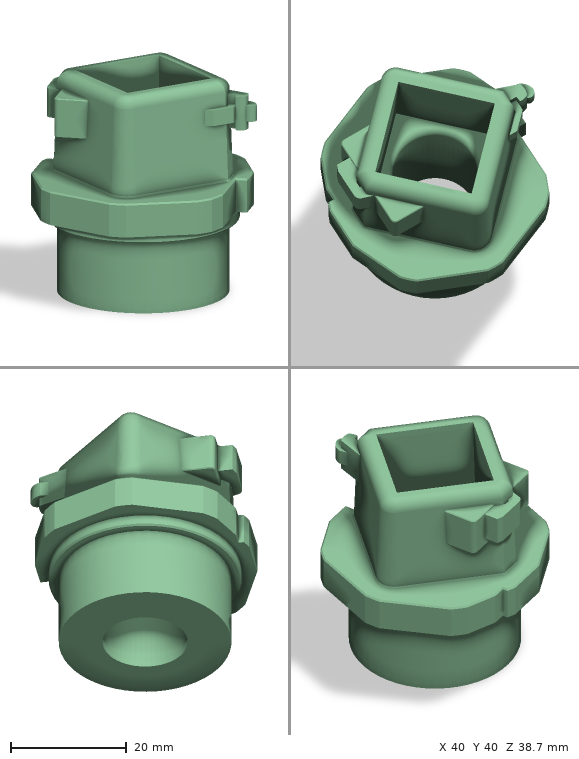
import cadquery as cq
import math

collar_bottom = 13.0
flange_bottom = 15.0
flange_top = 21.0
overall_height = 38.7

spigot_radius = 14.9
collar_radius = 16.68
flange_radius = 20
bore_radius = 7.35
bore_mouth_fillet = 1.08
edge_break = 0.28

flange_sides = 8
flange_apothem = 19.0
positive_corner_flat = 18.4
positive_corner_deep_flat = 16.4
positive_corner_step = 0
negative_corner_notch_flat = 17.4
negative_corner_notch_start = -5.3

draft_angle = 2
hub_half_width = 12.28
hub_corner_radius = 3.08
hub_corner_flat = 2.68
hub_top_fillet = 2

pocket_half_width = 8.55
pocket_lip_depth = 1.2
pocket_floor = 21.8

wedge_bottom = 28.9
wedge_top = 35.9
wedge_apex_out = 16.1
wedge_apex_along = -3.5
wedge_apex_radius = 0.88
wedge_root = 10
wedge_edge_chamfer = 0.15
wedge_wall_fillet = 0.15

selection_margin = 0.05

clip_bottom = 30.45
clip_top = 35.6
clip_outer = 16.88
clip_inner = 15.25
clip_root = 13.6
clip_end = -5.6
clip_bevel_out = 0.45
clip_bevel_across = 1.15
clip_nose_start = 0.8
clip_nose_out = (16.68, 16.25)
clip_nose_across = (1.4, 1.85)
clip_root_across = 2.7
clip_slit_end = -1.15
clip_wall_point = (-11.6, -6.4)

latch_bottom = 30
latch_top = 36
latch_edge = 18.25
latch_crown = 18.48
latch_crown_across = -0.48
latch_edge_across = (-1.68, 0.68)
latch_side_out = (16.6, 17.4)
latch_side_across = 1.05
latch_root_out = 14.4
latch_root_x = 6.5
latch_root_y = (10.45, 11.65)
arm_bottom = 31.6
arm_top = 34.4
arm_inner = 15.25
arm_outer = 16.48
arm_inner_side = 12.05
arm_side = 13.1
arm_end = 6.1
arm_overlap = 0.8

nose_start = (10, 13.2)
nose_shoulder = (11.0, 14.48)
nose_crown = (12.28, 14.88)
nose_turn = (13.55, 14.6)
nose_tip = (14.35, 13.6)
nose_finish = (13.45, 12.48)
nose_root = (11.2, 12)


def corner_point(outward, across):
    """XY point given along the (+X, +Y) diagonal and square to it, toward +X."""
    root = math.sqrt(2)
    return (outward + across) / root, (outward - across) / root


def prism(points, bottom, top):
    return cq.Workplane("XY").workplane(offset=bottom).polyline(points).close().extrude(top - bottom)


def corner_cut(near, far, start, end):
    """Block that trims the flange from one diagonal distance to another."""
    outline = [
        corner_point(near, start),
        corner_point(near, end),
        corner_point(far, end),
        corner_point(far, start),
    ]
    return prism(outline, flange_bottom, flange_top)


def make_base():
    spigot = cq.Workplane("XY").circle(spigot_radius).extrude(flange_bottom)
    collar = (
        cq.Workplane("XY")
        .workplane(offset=collar_bottom)
        .circle(collar_radius)
        .extrude(flange_bottom - collar_bottom)
        .faces("<Z")
        .chamfer(edge_break)
    )
    return spigot.union(collar)


def make_flange():
    thickness = flange_top - flange_bottom
    reach = 2 * flange_radius
    plane = cq.Workplane("XY").workplane(offset=flange_bottom)
    octagon_diameter = 2 * flange_apothem / math.cos(math.pi / flange_sides)
    flange = plane.polygon(flange_sides, octagon_diameter).extrude(thickness)
    flange = flange.intersect(plane.circle(flange_radius).extrude(thickness))
    cuts = (
        corner_cut(positive_corner_flat, reach, -reach, reach),
        corner_cut(positive_corner_deep_flat, reach, positive_corner_step, reach),
        corner_cut(-flange_apothem, -reach, -reach, reach),
        corner_cut(-negative_corner_notch_flat, -reach, -reach, negative_corner_notch_start),
    )
    for cut in cuts:
        flange = flange.cut(cut)
    return flange.faces(">Z").chamfer(edge_break)


def make_hub():
    """Drafted square with flats on the (+X, +Y) and (-X, -Y) corners and the other two rounded."""
    half = hub_half_width
    flat = half - hub_corner_flat
    arc = half - hub_corner_radius
    mid = arc + hub_corner_radius / math.sqrt(2)
    hub = (
        cq.Workplane("XY")
        .workplane(offset=flange_top)
        .moveTo(half, flat)
        .lineTo(flat, half)
        .lineTo(-arc, half)
        .threePointArc((-mid, mid), (-half, arc))
        .lineTo(-half, -flat)
        .lineTo(-flat, -half)
        .lineTo(arc, -half)
        .threePointArc((mid, -mid), (half, -arc))
        .close()
        .extrude(overall_height - flange_top, taper=draft_angle)
    )
    return hub.faces(">Z").edges().fillet(hub_top_fillet)


def make_pocket():
    """Straight-sided lip above a square cavity that widens toward its floor."""
    lip_bottom = overall_height - pocket_lip_depth
    cavity_depth = lip_bottom - pocket_floor
    side = 2 * pocket_half_width
    floor_side = side + 2 * cavity_depth * math.tan(math.radians(draft_angle))
    lip = cq.Workplane("XY").workplane(offset=lip_bottom).rect(side, side).extrude(pocket_lip_depth)
    cavity = (
        cq.Workplane("XY")
        .workplane(offset=pocket_floor)
        .rect(floor_side, floor_side)
        .workplane(offset=cavity_depth)
        .rect(side, side)
        .loft(ruled=True)
    )
    return lip.union(cavity)


def make_bore():
    """Through bore whose mouth is rounded over into the pocket floor."""
    mouth_radius = bore_radius + bore_mouth_fillet
    fillet_start = pocket_floor - bore_mouth_fillet
    sag = bore_mouth_fillet / math.sqrt(2)
    return (
        cq.Workplane("XZ")
        .lineTo(bore_radius, 0)
        .lineTo(bore_radius, fillet_start)
        .threePointArc((mouth_radius - sag, fillet_start + sag), (mouth_radius, pocket_floor))
        .lineTo(0, pocket_floor)
        .close()
        .revolve(360, (0, 0, 0), (0, 1, 0))
    )


def make_wedge():
    """Wedge on the -X wall, its two faces meeting at a rounded right-angled nose."""
    run = wedge_apex_out - wedge_root
    outline = [
        (-wedge_apex_out, wedge_apex_along),
        (-wedge_root, wedge_apex_along + run),
        (-wedge_root, wedge_apex_along - run),
    ]
    wedge = prism(outline, wedge_bottom, wedge_top)
    wedge = wedge.edges("|Z and <X").fillet(wedge_apex_radius)
    return wedge.faces("<Z or >Z").chamfer(wedge_edge_chamfer)


def make_clip():
    """Clip with a bevelled free end; a slit separates half of it from the hub corner."""
    nose_middle = corner_point(-clip_nose_out[0], clip_nose_across[0])
    nose_finish = corner_point(-clip_nose_out[1], clip_nose_across[1])
    return (
        cq.Workplane("XY")
        .workplane(offset=clip_bottom)
        .moveTo(*corner_point(-clip_root, clip_end))
        .lineTo(*corner_point(clip_bevel_out - clip_outer, clip_end))
        .lineTo(*corner_point(-clip_outer, clip_end + clip_bevel_across))
        .lineTo(*corner_point(-clip_outer, clip_nose_start))
        .threePointArc(nose_middle, nose_finish)
        .lineTo(*corner_point(-clip_root, clip_root_across))
        .lineTo(*corner_point(-clip_root, 0))
        .lineTo(*corner_point(-clip_inner, 0))
        .lineTo(*corner_point(-clip_inner, clip_slit_end))
        .lineTo(*clip_wall_point)
        .close()
        .extrude(clip_top - clip_bottom)
    )


def make_latch_head():
    edge_start, edge_finish = latch_edge_across
    side_start, side_middle = latch_side_out
    wall_low, wall_high = latch_root_y
    return (
        cq.Workplane("XY")
        .workplane(offset=latch_bottom)
        .moveTo(*corner_point(latch_root_out, 0))
        .lineTo(*corner_point(arm_outer, 0))
        .lineTo(*corner_point(side_start, latch_side_across))
        .threePointArc(corner_point(side_middle, latch_side_across), corner_point(latch_edge, edge_finish))
        .threePointArc(corner_point(latch_crown, latch_crown_across), corner_point(latch_edge, edge_start))
        .lineTo(latch_root_x, wall_high)
        .lineTo(latch_root_x, wall_low)
        .close()
        .extrude(latch_top - latch_bottom)
    )


def make_latch_arm():
    """Bent arm that leaves the head and stands clear of the hub wall."""
    arm_width = arm_side - arm_inner_side
    outline = [
        corner_point(arm_inner, -arm_overlap),
        corner_point(arm_outer, -arm_overlap),
        (arm_side, arm_outer * math.sqrt(2) - arm_side),
        (arm_side, arm_end),
        (arm_inner_side, arm_end - arm_width),
        (arm_inner_side, arm_inner * math.sqrt(2) - arm_inner_side),
    ]
    return prism(outline, arm_bottom, arm_top)


def make_latch_nose():
    return (
        cq.Workplane("XY")
        .workplane(offset=arm_bottom)
        .moveTo(*nose_start)
        .lineTo(*nose_shoulder)
        .threePointArc(nose_crown, nose_turn)
        .threePointArc(nose_tip, nose_finish)
        .lineTo(*nose_root)
        .close()
        .extrude(arm_top - arm_bottom)
    )


def make_latch():
    return make_latch_head().union(make_latch_arm()).union(make_latch_nose())


def make_hub_with_wedges():
    """Hub with a wedge on its -X wall and the mirrored one on its -Y wall, filleted at the walls."""
    wedge = make_wedge()
    mirrored_wedge = wedge.rotate((0, 0, 0), (0, 0, 1), 90).mirror("YZ")
    hub = make_hub().union(wedge).union(mirrored_wedge)
    wall_lean = (overall_height - flange_top) * math.tan(math.radians(draft_angle))
    run = wedge_apex_out - wedge_root
    outer = -hub_half_width
    inner = outer + wall_lean
    start = wedge_apex_along - run
    finish = wedge_apex_along + run
    low = wedge_bottom - selection_margin
    high = wedge_top + selection_margin
    west_joint = cq.selectors.BoxSelector((outer, start, low), (inner, finish, high))
    south_joint = cq.selectors.BoxSelector((start, outer, low), (finish, inner, high))
    return hub.edges(west_joint + south_joint).fillet(wedge_wall_fillet)


def make_body():
    """Spigot, collar, flange and hub, with a small bevel round the foot of the hub."""
    reach = hub_half_width + edge_break / 2
    low = flange_top - selection_margin
    high = flange_top + selection_margin
    foot = cq.selectors.BoxSelector((-reach, -reach, low), (reach, reach, high))
    body = make_base().union(make_flange()).union(make_hub_with_wedges())
    return body.edges(foot).edges("#Z").chamfer(edge_break)


result = make_body()
result = result.union(make_clip()).union(make_latch())
result = result.cut(make_pocket()).cut(make_bore())